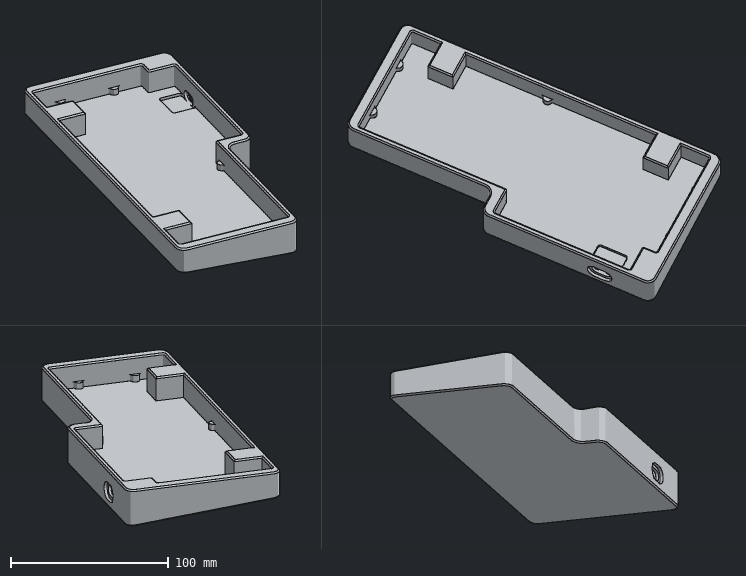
import cadquery as cq
import math

LENGTH = 226.5
WIDTH = 104.2
REAR_HEIGHT = 25.2
BOTTOM_SLOPE = 4.0

TAB_RIGHT = 8.4
STEP_BACK = 18.8
CORNER_RADIUS = 6.0
EDGE_CHAMFER = 1.0

SIDE_WALL = 8.0
END_WALL = 4.0
REAR_LEFT_WALL = 17.7
CAVITY_DEPTH = 16.0
CAVITY_RADIUS = 1.1

BLOCK_WIDTH = 18.0
BLOCK_REAR = -29.5
BLOCK_CENTERS = (-76.1, 76.1)

SUPPORT_RADIUS = 3.0
SUPPORT_BLEND = 1.0
SUPPORT_HEIGHT = 4.3
SUPPORT_SIDE_Y = (9.5, -28.5)
SUPPORT_END_X = 9.3

PORT_X = -76.1
PORT_WIDTH = 12.7
PORT_HEIGHT = 7.0
PORT_RELIEF_DEPTH = 2.0
PORT_RELIEF_MARGIN = 2.3
RECESS_WIDTH = 20.6
RECESS_LENGTH = 16.0
RECESS_DEPTH = 2.0
RECESS_RADIUS = 1.8

RIGHT = LENGTH / 2
LEFT = -RIGHT
REAR = WIDTH / 2
FRONT = -REAR
STEP_Y = REAR - STEP_BACK
RIM_Z = REAR_HEIGHT
FLOOR_Z = RIM_Z - CAVITY_DEPTH
RECESS_Z = FLOOR_Z - RECESS_DEPTH
WEDGE_MARGIN = 2.3

CAVITY_LEFT = LEFT + SIDE_WALL
CAVITY_RIGHT = RIGHT - SIDE_WALL
CAVITY_FRONT = FRONT + END_WALL
CAVITY_REAR = REAR - END_WALL
CAVITY_STEP_Y = STEP_Y - END_WALL
CAVITY_TAB_LEFT = LEFT + REAR_LEFT_WALL
CAVITY_TAB_RIGHT = TAB_RIGHT - SIDE_WALL


def make_body():
    """Stepped outline with rounded corners, a sloping underside and chamfered edges."""
    body = (
        cq.Workplane("XY", origin=(0, 0, -WEDGE_MARGIN))
        .polyline([
            (LEFT, FRONT),
            (RIGHT, FRONT),
            (RIGHT, STEP_Y),
            (TAB_RIGHT, STEP_Y),
            (TAB_RIGHT, REAR),
            (LEFT, REAR),
        ])
        .close()
        .extrude(RIM_Z + WEDGE_MARGIN)
        .edges("|Z")
        .fillet(CORNER_RADIUS)
    )
    slope = math.tan(math.radians(BOTTOM_SLOPE))
    slope_start = REAR - EDGE_CHAMFER
    wedge = (
        cq.Workplane("YZ")
        .polyline([
            (REAR, -EDGE_CHAMFER * slope),
            (FRONT, (slope_start - FRONT) * slope),
            (FRONT, -WEDGE_MARGIN),
            (REAR, -WEDGE_MARGIN),
        ])
        .close()
        .extrude(RIGHT, both=True)
    )
    body = body.cut(wedge)
    body = body.faces(">Z").edges().chamfer(EDGE_CHAMFER)
    return body.faces("<Z").edges().chamfer(EDGE_CHAMFER)


def make_cavity():
    """Volume of the cavity, running around the front blocks, with rounded wall corners."""
    wall_corners = [
        (CAVITY_LEFT, CAVITY_FRONT),
        (CAVITY_RIGHT, CAVITY_FRONT),
        (CAVITY_RIGHT, CAVITY_STEP_Y),
        (CAVITY_TAB_RIGHT, CAVITY_STEP_Y),
        (CAVITY_TAB_RIGHT, CAVITY_REAR),
        (CAVITY_TAB_LEFT, CAVITY_REAR),
        (CAVITY_TAB_LEFT, CAVITY_STEP_Y),
        (CAVITY_LEFT, CAVITY_STEP_Y),
    ]
    block_corners = []
    for center in BLOCK_CENTERS:
        block_left = center - BLOCK_WIDTH / 2
        block_right = center + BLOCK_WIDTH / 2
        block_corners += [
            (block_left, CAVITY_FRONT),
            (block_left, BLOCK_REAR),
            (block_right, BLOCK_REAR),
            (block_right, CAVITY_FRONT),
        ]
    cavity = (
        cq.Workplane("XY", origin=(0, 0, FLOOR_Z))
        .polyline(wall_corners[:1] + block_corners + wall_corners[1:])
        .close()
        .extrude(CAVITY_DEPTH)
    )
    middle_z = FLOOR_Z + CAVITY_DEPTH / 2
    for x, y in wall_corners:
        corner = cq.selectors.NearestToPointSelector((x, y, middle_z))
        cavity = cavity.edges("|Z").edges(corner).fillet(CAVITY_RADIUS)
    return cavity


def add_supports(case):
    """Add round posts centred on the cavity walls and blend their free halves into the walls."""
    end_centers = [(SUPPORT_END_X, y) for y in (CAVITY_FRONT, CAVITY_STEP_Y)]
    side_centers = [(x, y) for x in (CAVITY_LEFT, CAVITY_RIGHT) for y in SUPPORT_SIDE_Y]
    posts = (
        cq.Workplane("XY", origin=(0, 0, FLOOR_Z))
        .pushPoints(end_centers + side_centers)
        .circle(SUPPORT_RADIUS)
        .extrude(SUPPORT_HEIGHT)
    )
    case = case.union(posts)

    wall_edges = []
    for offset in (-SUPPORT_RADIUS, SUPPORT_RADIUS):
        wall_edges += [(x + offset, y) for x, y in end_centers]
        wall_edges += [(x, y + offset) for x, y in side_centers]
    for x, y in wall_edges:
        nearest = cq.selectors.NearestToPointSelector((x, y, FLOOR_Z + SUPPORT_HEIGHT / 2))
        case = case.edges("|Z").edges(nearest).fillet(SUPPORT_BLEND)
    return case


def make_recess():
    """Shallow rounded recess in the floor against the rear wall."""
    return (
        cq.Workplane("XY", origin=(PORT_X, CAVITY_REAR - RECESS_LENGTH / 2, FLOOR_Z))
        .rect(RECESS_WIDTH, RECESS_LENGTH)
        .extrude(-RECESS_DEPTH)
        .edges("|Z")
        .fillet(RECESS_RADIUS)
    )


def make_port():
    """Slot with round ends level with the recess, stepped wider towards the outer face."""
    outer_face = cq.Workplane("XZ", origin=(PORT_X, REAR, RECESS_Z + PORT_HEIGHT / 2))
    slot = outer_face.slot2D(PORT_WIDTH, PORT_HEIGHT).extrude(END_WALL)
    relief = outer_face.slot2D(
        PORT_WIDTH + 2 * PORT_RELIEF_MARGIN,
        PORT_HEIGHT + 2 * PORT_RELIEF_MARGIN,
    ).extrude(PORT_RELIEF_DEPTH)
    return slot.union(relief)


case = make_body().cut(make_cavity())
rim_edges = case.faces(">Z").val().innerWires()[0].Edges()
case = case.newObject(rim_edges).chamfer(EDGE_CHAMFER)
case = add_supports(case)
result = case.cut(make_recess()).cut(make_port())